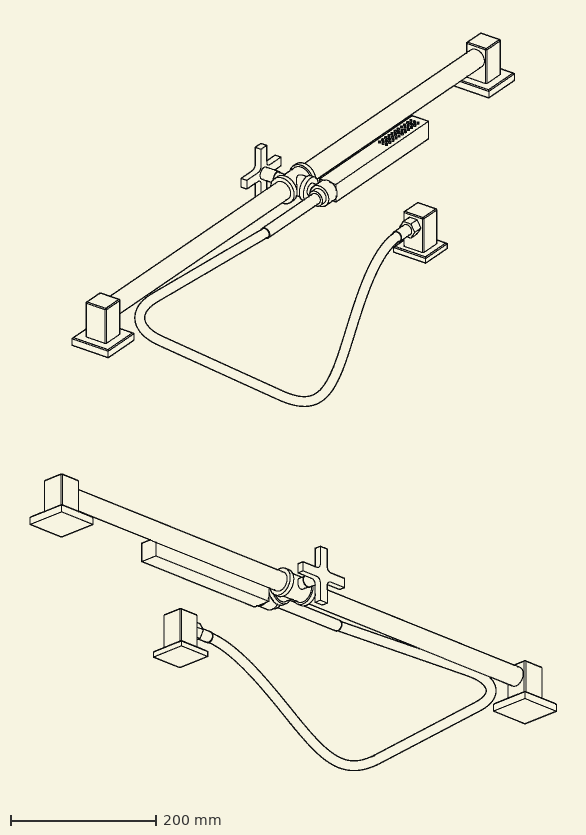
import cadquery as cq
import math


RAIL_DIAMETER = 28.0
RAIL_HEIGHT = 46.0
MOUNT_SPACING = 902.0
MOUNT_PLATE_SIDE = 61.0
MOUNT_PLATE_THICKNESS = 12.0
MOUNT_POST_SIDE = 35.0
MOUNT_HEIGHT = 66.0
EDGE_CHAMFER = 1.5

SLEEVE_DIAMETER = 34.0
SLEEVE_LENGTH = 51.0
RIM_DIAMETER = 40.0
RIM_WIDTH = 7.0
NECK_DIAMETER = 18.0
NECK_END_X = -28.0
SHANK_DIAMETER = 16.0
HANDLE_SPAN = 81.0
HANDLE_ARM_WIDTH = 14.0
HANDLE_THICKNESS = 10.0
HANDLE_OUTER_X = -59.0
HANDLE_CORNER_RADIUS = 7.0
BOSS_DIAMETER = 30.0
PIVOT_DISC_DIAMETER = 36.0
PIVOT_DISC_START_X = 23.0
PIVOT_DISC_THICKNESS = 7.0
HOLDER_ARM_DIAMETER = 18.0
HOLDER_DIAMETER = 32.0
HOLDER_TOP_Y = 11.0
HOLDER_BOTTOM_Y = -9.0

SHOWER_X = 50.0
SHOWER_SIDE = 28.0
SHOWER_TIP_Y = 230.0
STEM_DIAMETER = 18.0
STEM_NUT_DIAMETER = 23.0
STEM_NUT_LENGTH = 9.0
NOZZLE_DIAMETER = 3.0
NOZZLE_HEIGHT = 2.0
NOZZLE_ROWS = 11
NOZZLE_COLUMNS = 3
NOZZLE_ROW_PITCH = 7.4
NOZZLE_COLUMN_PITCH = 6.0
NOZZLE_FIELD_Y = 179.0
FERRULE_DIAMETER = 16.0
SHOWER_FERRULE_END_Y = -137.0
HOSE_DIAMETER = 14.0
HOSE_OVERLAP = 3.0
HOSE_BEND_START = (33.0, -375.0)
HOSE_BEND_END = (109.0, -469.0)
HOSE_LOWER_RUN = 225.5
HOSE_LOOP_REACH = 116.0
HOSE_LOOP_SHOULDER = (355.0, -390.0)
HOSE_OUTLET_DROP = 87.0

OUTLET_X = 204.0
OUTLET_Y = 15.0
OUTLET_PLATE_WIDTH = 54.0
OUTLET_PLATE_DEPTH = 51.0
OUTLET_PLATE_THICKNESS = 9.0
OUTLET_POST_SIDE = 34.0
OUTLET_HEIGHT = 63.0
OUTLET_NUT_CORNERS = 26.0
OUTLET_NUT_END_Y = -17.0
OUTLET_FERRULE_END_Y = -41.0


def rod_along_y(diameter, x, start_y, end_y):
    """Cylinder along Y at the height of the rail, between two stations."""
    plane = cq.Plane(origin=(x, start_y, RAIL_HEIGHT), xDir=(1, 0, 0), normal=(0, 1, 0))
    return cq.Workplane(plane).circle(diameter / 2).extrude(end_y - start_y)


def rod_along_x(diameter, start_x, end_x):
    """Cylinder along X at the height of the rail, between two stations."""
    plane = cq.Plane(origin=(start_x, 0, RAIL_HEIGHT), xDir=(0, 1, 0), normal=(1, 0, 0))
    return cq.Workplane(plane).circle(diameter / 2).extrude(end_x - start_x)


def block(width, depth, bottom, top):
    """Upright block centred on the Z axis."""
    return cq.Workplane("XY").workplane(offset=bottom).rect(width, depth).extrude(top - bottom)


def wall_mount(plate_width, plate_depth, plate_thickness, post_side, height):
    """Wall plate and square post, with small chamfers on their exposed edges."""
    plate = block(plate_width, plate_depth, 0, plate_thickness).faces(">Z").chamfer(EDGE_CHAMFER)
    post = block(post_side, post_side, plate_thickness, height).edges("|Z or >Z").chamfer(EDGE_CHAMFER)
    return plate.union(post)


def make_rail():
    """Round rail with a wall mount at each end."""
    rail = rod_along_y(RAIL_DIAMETER, 0, -MOUNT_SPACING / 2, MOUNT_SPACING / 2)
    mount = wall_mount(
        MOUNT_PLATE_SIDE, MOUNT_PLATE_SIDE, MOUNT_PLATE_THICKNESS, MOUNT_POST_SIDE, MOUNT_HEIGHT
    )
    for side in (-1, 1):
        rail = rail.union(mount.translate((0, side * MOUNT_SPACING / 2, 0)))
    return rail


def make_cross_handle():
    """Four-armed cross with rounded inner corners."""
    plane = cq.Plane(origin=(HANDLE_OUTER_X, 0, RAIL_HEIGHT), xDir=(0, 1, 0), normal=(1, 0, 0))
    upright = cq.Workplane(plane).rect(HANDLE_ARM_WIDTH, HANDLE_SPAN).extrude(HANDLE_THICKNESS)
    crossbar = cq.Workplane(plane).rect(HANDLE_SPAN, HANDLE_ARM_WIDTH).extrude(HANDLE_THICKNESS)
    half_core = HANDLE_ARM_WIDTH / 2 + HANDLE_CORNER_RADIUS / 2
    core = cq.selectors.BoxSelector(
        (HANDLE_OUTER_X, -half_core, RAIL_HEIGHT - half_core),
        (HANDLE_OUTER_X + HANDLE_THICKNESS, half_core, RAIL_HEIGHT + half_core),
    )
    return upright.union(crossbar).edges("|X").edges(core).fillet(HANDLE_CORNER_RADIUS)


def make_slider():
    """Sleeve bored for the rail, with a cross handle on one side and the shower holder on the other."""
    half_length = SLEEVE_LENGTH / 2
    slider = rod_along_y(SLEEVE_DIAMETER, 0, -half_length, half_length)
    for start_y in (-half_length, half_length - RIM_WIDTH):
        slider = slider.union(rod_along_y(RIM_DIAMETER, 0, start_y, start_y + RIM_WIDTH))

    handle_inner_x = HANDLE_OUTER_X + HANDLE_THICKNESS
    disc_end_x = PIVOT_DISC_START_X + PIVOT_DISC_THICKNESS
    slider = (
        slider.union(make_cross_handle())
        .union(rod_along_x(NECK_DIAMETER, handle_inner_x, NECK_END_X))
        .union(rod_along_x(SHANK_DIAMETER, NECK_END_X, 0))
        .union(rod_along_x(BOSS_DIAMETER, 0, PIVOT_DISC_START_X))
        .union(rod_along_x(PIVOT_DISC_DIAMETER, PIVOT_DISC_START_X, disc_end_x))
        .union(rod_along_x(HOLDER_ARM_DIAMETER, disc_end_x, SHOWER_X))
        .union(rod_along_y(HOLDER_DIAMETER, SHOWER_X, HOLDER_BOTTOM_Y, HOLDER_TOP_Y))
    )
    rail_bore = rod_along_y(RAIL_DIAMETER, 0, -half_length, half_length)
    stem_bore = rod_along_y(STEM_DIAMETER, SHOWER_X, HOLDER_BOTTOM_Y, HOLDER_TOP_Y)
    return slider.cut(rail_bore).cut(stem_bore)


def make_nozzles():
    """Grid of spray nozzles standing on the front of the hand shower."""
    front = RAIL_HEIGHT + SHOWER_SIDE / 2
    return (
        cq.Workplane("XY", origin=(SHOWER_X, NOZZLE_FIELD_Y, front))
        .rarray(NOZZLE_COLUMN_PITCH, NOZZLE_ROW_PITCH, NOZZLE_COLUMNS, NOZZLE_ROWS)
        .circle(NOZZLE_DIAMETER / 2)
        .extrude(NOZZLE_HEIGHT)
    )


def make_hose():
    """Hose that leaves the shower's ferrule, rounds the lower loop and rises to the outlet's ferrule."""
    start = cq.Vector(SHOWER_X, SHOWER_FERRULE_END_Y + HOSE_OVERLAP)
    bend_start = cq.Vector(*HOSE_BEND_START)
    bend_end = cq.Vector(*HOSE_BEND_END)
    down_run = bend_start - start
    bend_chord = bend_end - bend_start

    down_angle = math.atan2(down_run.y, down_run.x)
    lower_angle = 2 * math.atan2(bend_chord.y, bend_chord.x) - down_angle
    lower_direction = cq.Vector(math.cos(lower_angle), math.sin(lower_angle))
    loop_start = bend_end + lower_direction * HOSE_LOWER_RUN
    loop_pull = loop_start + lower_direction * HOSE_LOOP_REACH

    path = (
        cq.Workplane("XY", origin=(0, 0, RAIL_HEIGHT))
        .moveTo(start.x, start.y)
        .lineTo(bend_start.x, bend_start.y)
        .tangentArcPoint(HOSE_BEND_END, relative=False)
        .lineTo(loop_start.x, loop_start.y)
        .bezier(
            [
                (loop_pull.x, loop_pull.y),
                HOSE_LOOP_SHOULDER,
                (OUTLET_X, OUTLET_FERRULE_END_Y - HOSE_OUTLET_DROP),
                (OUTLET_X, OUTLET_FERRULE_END_Y),
            ],
            includeCurrent=True,
        )
    )
    start_plane = cq.Plane(origin=(start.x, start.y, RAIL_HEIGHT), xDir=(0, 0, 1), normal=down_run)
    return cq.Workplane(start_plane).circle(HOSE_DIAMETER / 2).sweep(path)


def make_hand_shower():
    """Square wand whose stem passes through the holder and carries the hose."""
    wand_length = SHOWER_TIP_Y - HOLDER_TOP_Y
    wand = cq.Workplane("XY").box(SHOWER_SIDE, wand_length, SHOWER_SIDE)
    wand = wand.translate((SHOWER_X, HOLDER_TOP_Y + wand_length / 2, RAIL_HEIGHT))
    nut_end_y = HOLDER_BOTTOM_Y - STEM_NUT_LENGTH
    return (
        wand.union(make_nozzles())
        .union(rod_along_y(STEM_DIAMETER, SHOWER_X, HOLDER_BOTTOM_Y, HOLDER_TOP_Y))
        .union(rod_along_y(STEM_NUT_DIAMETER, SHOWER_X, nut_end_y, HOLDER_BOTTOM_Y))
        .union(rod_along_y(FERRULE_DIAMETER, SHOWER_X, SHOWER_FERRULE_END_Y, nut_end_y))
        .union(make_hose())
        .union(rod_along_y(FERRULE_DIAMETER, OUTLET_X, OUTLET_FERRULE_END_Y, OUTLET_NUT_END_Y))
    )


def make_outlet():
    """Wall outlet with a hexagonal nut that meets the end of the hose."""
    mount = wall_mount(
        OUTLET_PLATE_WIDTH,
        OUTLET_PLATE_DEPTH,
        OUTLET_PLATE_THICKNESS,
        OUTLET_POST_SIDE,
        OUTLET_HEIGHT,
    ).translate((OUTLET_X, OUTLET_Y, 0))
    post_face_y = OUTLET_Y - OUTLET_POST_SIDE / 2
    nut_plane = cq.Plane(origin=(OUTLET_X, post_face_y, RAIL_HEIGHT), xDir=(1, 0, 0), normal=(0, -1, 0))
    nut = cq.Workplane(nut_plane).polygon(6, OUTLET_NUT_CORNERS).extrude(post_face_y - OUTLET_NUT_END_Y)
    return mount.union(nut)


rail = make_rail()
slider = make_slider()
hand_shower = make_hand_shower()
outlet = make_outlet()

result = cq.Compound.makeCompound([rail.val(), slider.val(), hand_shower.val(), outlet.val()])